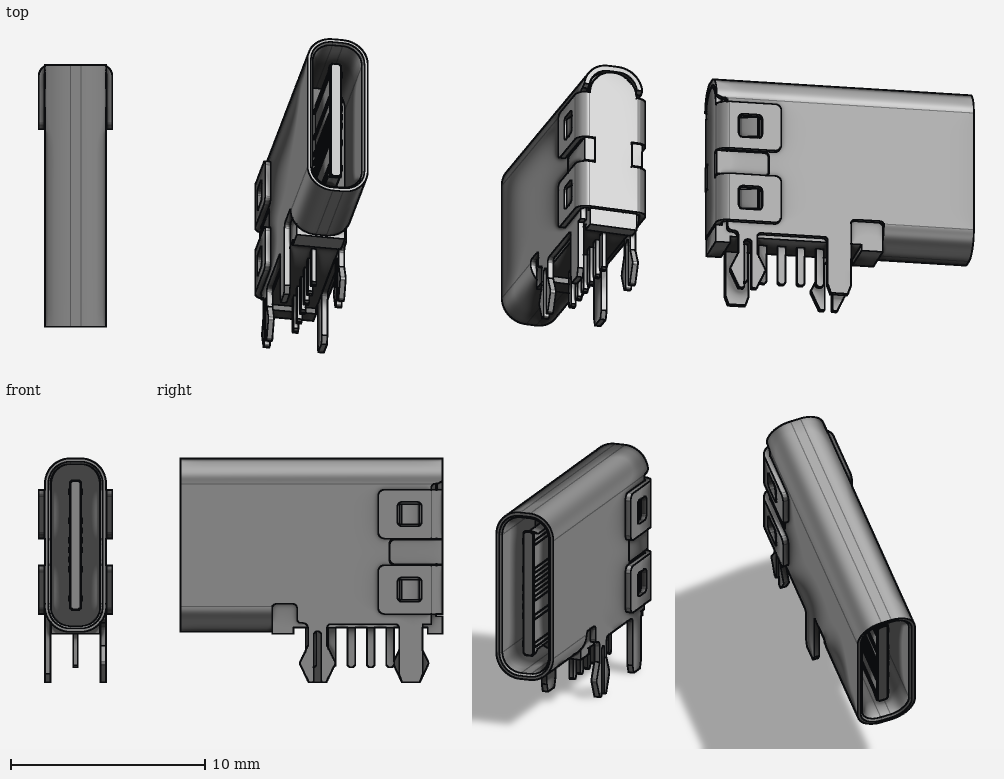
import cadquery as cq
import math

length = 13.5
overall_width = 3.8
sheet = 0.3
joint_gap = 0.03
full_round = 0.99

tube_width = 3.16
tube_height = 8.94
tube_radius = 1.31
tube_half_width = tube_width / 2
tube_inner_half_width = tube_half_width - sheet
mouth_chamfer = 0.12
closed_length = 4.72
arc_start_z = tube_height / 2 - tube_radius

wall_rear_y = 12.92
wall_bottom_z = -4.06
shoulder_z = -4.01
relief_top_z = -3.02
relief_radius = 0.23
rear_corner_radius = 0.2
arch_corner_length = 0.27
arch_corner_height = 0.14

front_leg_y = 7.06
rear_leg_y = 11.87
leg_bottom_z = -7.07
straight_half_width = 0.61
straight_tip_half_width = 0.45
straight_tip_height = 0.45
leg_root_radius = 0.22
neck_half_width = 0.49
neck_end_z = -5.17
barb_half_width = 0.93
barb_z = -6.08
barb_nose_radius = 0.22
barb_tip_half_width = 0.46
barb_tip_radius = 0.07
barb_slot_width = 0.4
barb_slot_top_z = -4.44
shoulder_reach = wall_rear_y - rear_leg_y
shoulder_corner_radius = 0.2
shoulder_root_radius = 0.3

tab_height = 2.51
tab_pitch = 3.89
tab_middle_z = -0.35
tab_z = [tab_middle_z - tab_pitch / 2, tab_middle_z + tab_pitch / 2]
tab_front_y = 10.18
tab_corner_radius = 0.32
tab_outer_x = overall_width / 2
bend_radius = length - wall_rear_y
bend_x = tab_outer_x - bend_radius
window_size = 1.27
window_radius = 0.27
window_y = 11.8
latch_height = 1.04
latch_front_y = 11.29
latch_peak_y = 11.4
latch_foot_y = 12.22
latch_rear_y = 12.3
latch_rise = 0.25
latch_step = 0.03

plate_half_width = 1.25
plate_front_y = length - sheet
plate_top_z = 4.1
plate_bottom_z = tab_z[0] - tab_height / 2
plate_notch_half_width = 0.99

slot_front_y = 10.76
slot_height = 1.31
slot_radius = 0.23
lug_outer_x = tube_half_width - joint_gap
lug_inner_x = plate_notch_half_width + joint_gap

housing_half_width = tube_inner_half_width - joint_gap
housing_rear_y = 13.16
housing_bottom_z = -4.25
housing_corner_radius = tube_radius - sheet - joint_gap
housing_top_z = tube_height / 2 - sheet
foot_bottom_z = -4.58
front_foot_length = 1.11
rear_foot_length = 0.77
rear_foot_top_z = -3.66

tongue_tip_y = 0.51
tongue_thickness = 0.61
tongue_height = 6.7
tongue_corner = 0.12
tongue_tip_chamfer = 0.05
tongue_land_end_y = 0.58
tongue_neck_y = 1.08
tongue_neck_depth = 0.27
contact_pitch = 0.5
contact_width = 0.24
contact_rise = 0.04
contact_front_y = tongue_tip_y + tongue_tip_chamfer
contact_slots = [-5.5, -2.5, -1.5, -0.5, 0.5, 2.5, 5.5]

pin_count = 6
pin_pitch = 1.0
first_pin_y = 6.8
pin_width = 0.4
pin_thickness = 0.24
pin_bottom_z = -6.29
pin_tip_chamfer = 0.11


def box(x0, x1, y0, y1, z0, z1):
    return cq.Workplane("XY").box(x1 - x0, y1 - y0, z1 - z0, centered=False).translate((x0, y0, z0))


def plate_yz(outline_points, x0, thickness):
    """Plate of constant thickness along X with a polygonal outline of (Y, Z) points."""
    return cq.Workplane("YZ", origin=(x0, 0, 0)).polyline(outline_points).close().extrude(thickness)


def rounded_x_edge(part, y, z, radius):
    """Round the X-parallel edges that pass through (y, z)."""
    reach = 0.001
    near = cq.selectors.BoxSelector((-length, y - reach, z - reach), (length, y + reach, z + reach))
    return part.edges("|X").edges(near).fillet(radius)


def rounded_bar(y0, y1, z0, z1, half_width, radius):
    """Bar along X through both sides, with its X-parallel edges rounded."""
    return box(-half_width, half_width, y0, y1, z0, z1).edges("|X").fillet(radius)


def rounded_prism(width, height, radius, y0, y1):
    """Upright rounded rectangle, centred on the tube axis, running from y0 to y1."""
    blank = box(-width / 2, width / 2, y0, y1, -height / 2, height / 2)
    return blank.edges("|Y").fillet(radius)


def tube_bore():
    return rounded_prism(tube_width - 2 * sheet, tube_height - 2 * sheet, tube_radius - sheet, 0, length)


def tube():
    ring = rounded_prism(tube_width, tube_height, tube_radius, 0, length).cut(tube_bore())
    open_bottom = box(-tube_width, tube_width, closed_length, length, -tube_height, arc_start_z)
    return ring.cut(open_bottom)


def mouth_flare():
    """Tapered cutter that chamfers the inner rim of the mouth."""
    outline = (
        cq.Sketch()
        .rect(tube_width - 2 * sheet + 2 * mouth_chamfer, tube_height - 2 * sheet + 2 * mouth_chamfer)
        .vertices()
        .fillet(tube_radius - sheet + mouth_chamfer)
    )
    return cq.Workplane("XZ").placeSketch(outline).extrude(-mouth_chamfer, taper=45)


def arch_corner_cutter():
    """Bevels the two rear lower corners of the arch above the side walls."""
    corner = [
        (length, arc_start_z),
        (length, arc_start_z + arch_corner_height),
        (length - arch_corner_length, arc_start_z),
    ]
    return plate_yz(corner, -tube_half_width, tube_width)


def symmetric_leg(half_outline, y, x0):
    """Leg symmetric about y; half_outline lists (half width, Z) from the root to the tip."""
    front = [(y - half_width, z) for half_width, z in half_outline]
    rear = [(y + half_width, z) for half_width, z in reversed(half_outline)]
    return plate_yz(front + rear, x0, sheet)


def straight_leg(y, x0):
    half_outline = [
        (straight_half_width, relief_top_z),
        (straight_half_width, leg_bottom_z + straight_tip_height),
        (straight_tip_half_width, leg_bottom_z),
    ]
    return symmetric_leg(half_outline, y, x0)


def barbed_leg(y, x0):
    half_outline = [
        (neck_half_width, relief_top_z),
        (neck_half_width, neck_end_z),
        (barb_half_width, barb_z),
        (barb_tip_half_width, leg_bottom_z),
    ]
    leg = symmetric_leg(half_outline, y, x0)
    slot_half = barb_slot_width / 2
    slot = box(x0, x0 + sheet, y - slot_half, y + slot_half, leg_bottom_z, barb_slot_top_z)
    leg = leg.cut(slot.edges("|X and >Z").fillet(full_round * slot_half))
    for side in (-1, 1):
        leg = rounded_x_edge(leg, y + side * barb_half_width, barb_z, barb_nose_radius)
        for half_width in (slot_half, barb_tip_half_width):
            leg = rounded_x_edge(leg, y + side * half_width, leg_bottom_z, barb_tip_radius)
    return leg


def corner_web(x0, corner_y, corner_z, radius):
    """Fill that rounds a concave wall corner whose open side lies behind and below it."""
    end_y = corner_y + radius
    start_z = corner_z - radius
    web = box(x0, x0 + sheet, corner_y, end_y, start_z, corner_z)
    rounding = cq.Workplane("YZ", origin=(x0, 0, 0)).center(end_y, start_z).circle(radius)
    return web.cut(rounding.extrude(sheet))


def side_wall(x0, straight_y, barbed_y):
    """Flat shell wall with a straight and a barbed leg; the barbed leg has a shoulder on its outer side."""
    outward = 1 if barbed_y > straight_y else -1
    shoulder_y = barbed_y + outward * shoulder_reach
    straight_outer_y = straight_y - outward * straight_half_width
    wall = box(x0, x0 + sheet, closed_length, wall_rear_y, wall_bottom_z, arc_start_z)

    trim_start_y, trim_end_y = sorted((barbed_y, shoulder_y))
    wall = wall.cut(box(x0, x0 + sheet, trim_start_y, trim_end_y, wall_bottom_z, shoulder_z))
    relief_end_y = min(straight_outer_y, shoulder_y)
    relief = box(x0, x0 + sheet, closed_length, relief_end_y, wall_bottom_z, relief_top_z)
    wall = wall.cut(relief).union(straight_leg(straight_y, x0)).union(barbed_leg(barbed_y, x0)).clean()

    wall = rounded_x_edge(wall, relief_end_y, relief_top_z, relief_radius)
    wall = wall.union(corner_web(x0, wall_rear_y, arc_start_z, rear_corner_radius))
    wall = wall.union(corner_web(x0, closed_length, relief_top_z, relief_radius))
    wall = rounded_x_edge(wall, shoulder_y, shoulder_z, shoulder_corner_radius)
    wall = rounded_x_edge(wall, barbed_y + outward * neck_half_width, shoulder_z, shoulder_root_radius)
    wall = rounded_x_edge(wall, barbed_y - outward * neck_half_width, wall_bottom_z, leg_root_radius)
    return rounded_x_edge(wall, straight_y + outward * straight_half_width, wall_bottom_z, leg_root_radius)


def latch(z):
    """Ramped latch on the -X wall, highest towards the mouth."""
    wall_x = -tube_half_width
    profile = [
        (wall_x, latch_front_y),
        (wall_x - latch_rise, latch_peak_y),
        (wall_x - latch_step, latch_foot_y),
        (wall_x - latch_step, latch_rear_y),
        (wall_x, latch_rear_y),
    ]
    base = cq.Workplane("XY", origin=(0, 0, z - latch_height / 2))
    return base.polyline(profile).close().extrude(latch_height)


def make_shell():
    shell = tube().cut(mouth_flare()).cut(arch_corner_cutter())
    shell = shell.union(side_wall(-tube_half_width, front_leg_y, rear_leg_y))
    shell = shell.union(side_wall(tube_inner_half_width, rear_leg_y, front_leg_y))
    for z in tab_z:
        shell = shell.union(latch(z)).union(latch(z).mirror("YZ"))
    slot = rounded_bar(
        slot_front_y,
        length + slot_radius,
        tab_middle_z - slot_height / 2,
        tab_middle_z + slot_height / 2,
        tube_half_width,
        slot_radius,
    )
    return shell.cut(slot)


def cover_tab(z):
    """Tab on the -X side: leaves the plate, bends forward and lies along the shell wall."""
    inner_radius = bend_radius - sheet
    diagonal = math.sqrt(0.5)
    bottom_z = z - tab_height / 2
    tab = (
        cq.Workplane("XY", origin=(0, 0, bottom_z))
        .moveTo(0, length)
        .lineTo(-bend_x, length)
        .threePointArc(
            (-bend_x - bend_radius * diagonal, wall_rear_y + bend_radius * diagonal),
            (-tab_outer_x, wall_rear_y),
        )
        .lineTo(-tab_outer_x, tab_front_y)
        .lineTo(-tab_outer_x + sheet, tab_front_y)
        .lineTo(-tab_outer_x + sheet, wall_rear_y)
        .threePointArc(
            (-bend_x - inner_radius * diagonal, wall_rear_y + inner_radius * diagonal),
            (-bend_x, plate_front_y),
        )
        .lineTo(0, plate_front_y)
        .close()
        .extrude(tab_height)
    )
    tab = tab.faces("<Y").edges("|X").fillet(tab_corner_radius)
    half = window_size / 2
    window = rounded_bar(window_y - half, window_y + half, z - half, z + half, tab_outer_x, window_radius)
    return tab.cut(window)


def make_cover():
    cover = box(-plate_half_width, plate_half_width, plate_front_y, length, plate_bottom_z, plate_top_z)
    cover = cover.edges("|Y and >Z").fillet(full_round * plate_half_width)
    notch_half_height = (tab_pitch - tab_height) / 2
    notch_bottom_z = tab_middle_z - notch_half_height
    notch_top_z = tab_middle_z + notch_half_height
    for side in (-1, 1):
        x0, x1 = sorted((side * plate_notch_half_width, side * plate_half_width))
        cover = cover.cut(box(x0, x1, plate_front_y, length, notch_bottom_z, notch_top_z))
    for z in tab_z:
        cover = cover.union(cover_tab(z)).union(cover_tab(z).mirror("YZ"))
    return cover


def full_width_box(y0, y1, z0, z1):
    return box(-housing_half_width, housing_half_width, y0, y1, z0, z1)


def housing_block():
    block = full_width_box(closed_length, housing_rear_y, housing_bottom_z, housing_top_z)
    block = block.edges("|Y and >Z").fillet(housing_corner_radius)
    front_foot_end_y = closed_length + front_foot_length
    front_foot = full_width_box(closed_length, front_foot_end_y, foot_bottom_z, housing_bottom_z)
    rear_foot = full_width_box(length - rear_foot_length, length, foot_bottom_z, rear_foot_top_z)
    return block.union(front_foot).union(rear_foot)


def lug():
    """Side lug on -X that reaches back past the block through the slot and the cover notch."""
    half_height = slot_height / 2 - joint_gap
    bar = box(
        -lug_outer_x,
        -lug_inner_x,
        slot_front_y + joint_gap,
        length,
        tab_middle_z - half_height,
        tab_middle_z + half_height,
    )
    return bar.edges("|X and <Y").fillet(slot_radius)


def tongue():
    blade = box(
        -tongue_thickness / 2,
        tongue_thickness / 2,
        tongue_tip_y,
        closed_length,
        -tongue_height / 2,
        tongue_height / 2,
    )
    blade = blade.edges("|Y").chamfer(tongue_corner).faces("<Y").chamfer(tongue_tip_chamfer)
    neck_z = tongue_height / 2 - tongue_neck_depth
    waste_outline = [
        (tongue_land_end_y, tongue_height / 2),
        (tongue_neck_y, neck_z),
        (closed_length, neck_z),
        (closed_length, tongue_height / 2),
    ]
    waste = plate_yz(waste_outline, -tongue_thickness / 2, tongue_thickness)
    return blade.cut(waste).cut(waste.mirror("XY"))


def contact(side, slot_number):
    """Contact strip standing slightly proud of one face of the tongue."""
    x0, x1 = sorted((0, side * (tongue_thickness / 2 + contact_rise)))
    z = slot_number * contact_pitch
    return box(x0, x1, contact_front_y, closed_length, z - contact_width / 2, z + contact_width / 2)


def pin(y):
    blank = box(
        -pin_thickness / 2,
        pin_thickness / 2,
        y - pin_width / 2,
        y + pin_width / 2,
        pin_bottom_z,
        housing_bottom_z,
    )
    return blank.edges("|X and <Z").chamfer(pin_tip_chamfer)


def make_housing():
    housing = housing_block().union(lug()).union(lug().mirror("YZ")).union(tongue())
    for slot_number in contact_slots:
        housing = housing.union(contact(-1, slot_number)).union(contact(1, -slot_number))
    for i in range(pin_count):
        housing = housing.union(pin(first_pin_y + i * pin_pitch))
    return housing


shell = make_shell()
cover = make_cover()
housing = make_housing()
result = cq.Compound.makeCompound([body.solids().val() for body in (shell, cover, housing)])